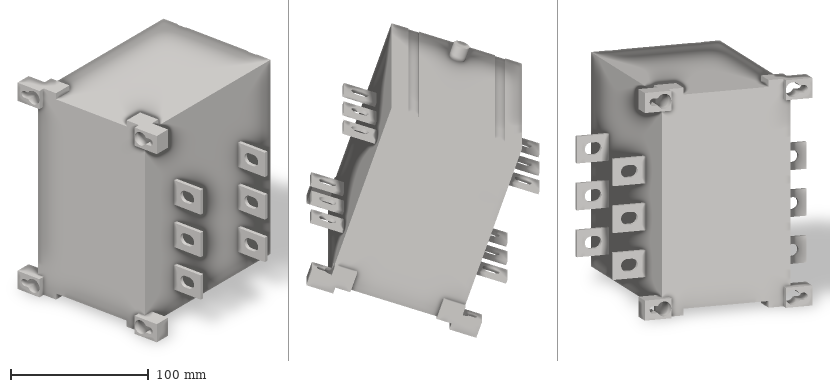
import cadquery as cq
OVERALL_WIDTH = 150.0
OVERALL_HEIGHT = 170.0

BODY_WIDTH = 100.0
BODY_DEPTH = 145.0
BODY_HEIGHT = 160.0
SIDE_X = BODY_WIDTH / 2

GROOVE_OFFSET = 33.0
GROOVE_WIDTH = 8.0
GROOVE_DEPTH = 0.7

SHAFT_DIAMETER = 12.2
SHAFT_LENGTH = 11.0
SHAFT_BELOW_TOP = 27.9
SHAFT_Z = BODY_HEIGHT / 2 - SHAFT_BELOW_TOP

FOOT_SPAN = 130.0
FOOT_LENGTH = 20.5
FOOT_HEIGHT = 15.0
FOOT_DEPTH = 13.0
FOOT_STANDOFF = 5.0
TAB_INNER_X = 33.0
TAB_DEPTH = 15.5
TAB_HEIGHT = (OVERALL_HEIGHT - BODY_HEIGHT) / 2
FOOT_Z = OVERALL_HEIGHT / 2 - FOOT_HEIGHT / 2

ENTRY_DIAMETER = 11.0
NECK_WIDTH = 5.5
NECK_REACH = 8.5
KEYHOLE_DEPTH = 18.0

BLADE_HEIGHT = 20.0
BLADE_THICKNESS = 2.9
BLADE_LENGTH = (OVERALL_WIDTH - BODY_WIDTH) / 2
BLADE_PITCH = 35.0
TOP_BLADE_Z = BLADE_PITCH / 2
BLADE_ROWS_Y = (34.8, 108.8)
BLADE_HOLE_LENGTH = 12.8
BLADE_HOLE_HEIGHT = 9.4
BLADE_HOLE_X = SIDE_X + BLADE_LENGTH / 2
BLADES_PER_ROW = 3


def box(x_range, y_range, z_range):
    """Axis-aligned box between pairs of limits."""
    size = [high - low for low, high in (x_range, y_range, z_range)]
    corner = (x_range[0], y_range[0], z_range[0])
    return cq.Workplane("XY").box(*size, centered=False).translate(corner)


def both_sides(shape):
    """The shape together with its mirror image across the YZ plane."""
    return shape.union(shape.mirror("YZ"))


def four_corners(shape):
    """The shape repeated at all four corners of the mounting face."""
    pair = both_sides(shape)
    return pair.union(pair.mirror("XY"))


def xz_plane(y):
    """Workplane facing +Y at the given depth, with local Y along Z and local X along -X."""
    return cq.Workplane(cq.Plane(origin=(0, y, 0), xDir=(-1, 0, 0), normal=(0, 1, 0)))


def make_body():
    body = box((-SIDE_X, SIDE_X), (0, BODY_DEPTH), (-BODY_HEIGHT / 2, BODY_HEIGHT / 2))
    groove = box(
        (GROOVE_OFFSET - GROOVE_WIDTH / 2, GROOVE_OFFSET + GROOVE_WIDTH / 2),
        (BODY_DEPTH - GROOVE_DEPTH, BODY_DEPTH),
        (-BODY_HEIGHT / 2, BODY_HEIGHT / 2),
    )
    return body.cut(both_sides(groove))


def make_shaft():
    return xz_plane(BODY_DEPTH).center(0, SHAFT_Z).circle(SHAFT_DIAMETER / 2).extrude(SHAFT_LENGTH)


def make_foot():
    """Upper foot on the +X side with its tab, before the keyhole is cut."""
    outer_x = FOOT_SPAN / 2
    top_z = OVERALL_HEIGHT / 2
    block = box(
        (outer_x - FOOT_LENGTH, outer_x),
        (-FOOT_STANDOFF, FOOT_DEPTH - FOOT_STANDOFF),
        (top_z - FOOT_HEIGHT, top_z),
    )
    tab = box((TAB_INNER_X, SIDE_X), (0, TAB_DEPTH), (top_z - TAB_HEIGHT, top_z))
    return block.union(tab)


def make_keyhole():
    """Keyhole cutter for the upper +X foot; its neck points away from the body."""
    entry = (
        xz_plane(-FOOT_STANDOFF).center(-SIDE_X, FOOT_Z)
        .circle(ENTRY_DIAMETER / 2).extrude(KEYHOLE_DEPTH)
    )
    neck = (
        xz_plane(-FOOT_STANDOFF).center(-SIDE_X - NECK_REACH / 2, FOOT_Z)
        .slot2D(NECK_REACH + NECK_WIDTH, NECK_WIDTH).extrude(KEYHOLE_DEPTH)
    )
    return entry.union(neck)


def make_blade(y, z):
    """Terminal blade on the +X side with its elongated bolt hole."""
    back_y = y - BLADE_THICKNESS / 2
    blade = box(
        (SIDE_X, SIDE_X + BLADE_LENGTH),
        (back_y, back_y + BLADE_THICKNESS),
        (z - BLADE_HEIGHT / 2, z + BLADE_HEIGHT / 2),
    )
    hole = (
        xz_plane(back_y).center(-BLADE_HOLE_X, z)
        .slot2D(BLADE_HOLE_LENGTH, BLADE_HOLE_HEIGHT).extrude(BLADE_THICKNESS)
    )
    return blade.cut(hole)


result = make_body().union(make_shaft())
result = result.union(four_corners(make_foot()))
result = result.cut(four_corners(make_keyhole()))

for row_y in BLADE_ROWS_Y:
    for index in range(BLADES_PER_ROW):
        blade_z = TOP_BLADE_Z - index * BLADE_PITCH
        result = result.union(both_sides(make_blade(row_y, blade_z)))